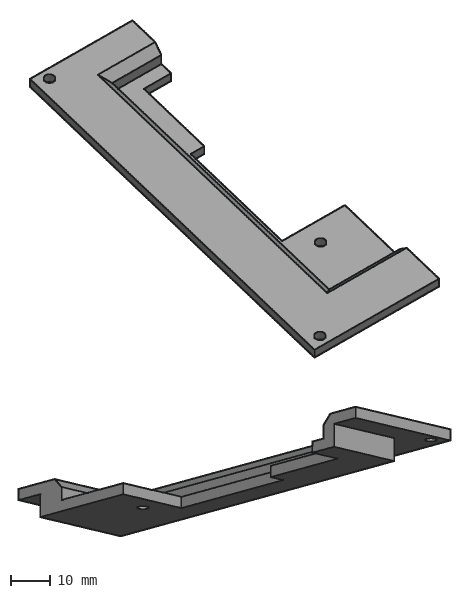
import cadquery as cq

length = 118.0
depth = 40.0
height = 9.0
flange_thickness = 3.0
left_arm_depth = 32.9

body_left = 8.0
body_right = 110.0
body_front = 12.0

floor_height = 3.0
chamfer_size = 2.6
recess_left = 12.0
recess_right = 102.0
recess_front = 17.1

cutout_left = 16.0
cutout_step = 41.1
cutout_right = 79.0
shelf_back = 24.2
cutout_front = 19.8

hole_diameter = 3.0
hole_centers = [(3.0, 4.0), (115.0, 4.0), (85.3, 27.3)]


def box(x_min, x_max, y_min, y_max, z_min, z_max):
    """Box given by its limits along each axis."""
    size = (x_max - x_min, y_max - y_min, z_max - z_min)
    return cq.Workplane("XY").box(*size, centered=False).translate((x_min, y_min, z_min))


def recess():
    """Straight-walled pocket whose upper rim flares outward at 45 degrees."""
    pocket = box(recess_left, recess_right, recess_front, depth, floor_height, height)
    base_width = recess_right - recess_left
    base_depth = depth - recess_front + chamfer_size
    base_center = (recess_left + base_width / 2, recess_front + base_depth / 2)
    flare = (
        cq.Workplane("XY", origin=(*base_center, height - chamfer_size))
        .rect(base_width, base_depth)
        .workplane(offset=chamfer_size)
        .rect(base_width + 2 * chamfer_size, base_depth + 2 * chamfer_size)
        .loft(ruled=True)
    )
    return pocket.union(flare)


def back_cutout():
    """Full-height opening that leaves a shelf at left and a tab at right."""
    shelf_cut = box(cutout_left, cutout_step, shelf_back, depth, 0, height)
    deep_cut = box(cutout_step, cutout_right, cutout_front, depth, 0, height)
    return shelf_cut.union(deep_cut)


flange = box(0, length, 0, depth, height - flange_thickness, height)
body = box(body_left, body_right, body_front, depth, 0, height)
left_arm_trim = box(0, cutout_left, left_arm_depth, depth, 0, height)
holes = cq.Workplane("XY").pushPoints(hole_centers).circle(hole_diameter / 2).extrude(height)

result = flange.union(body).cut(recess()).cut(back_cutout()).cut(left_arm_trim).cut(holes)